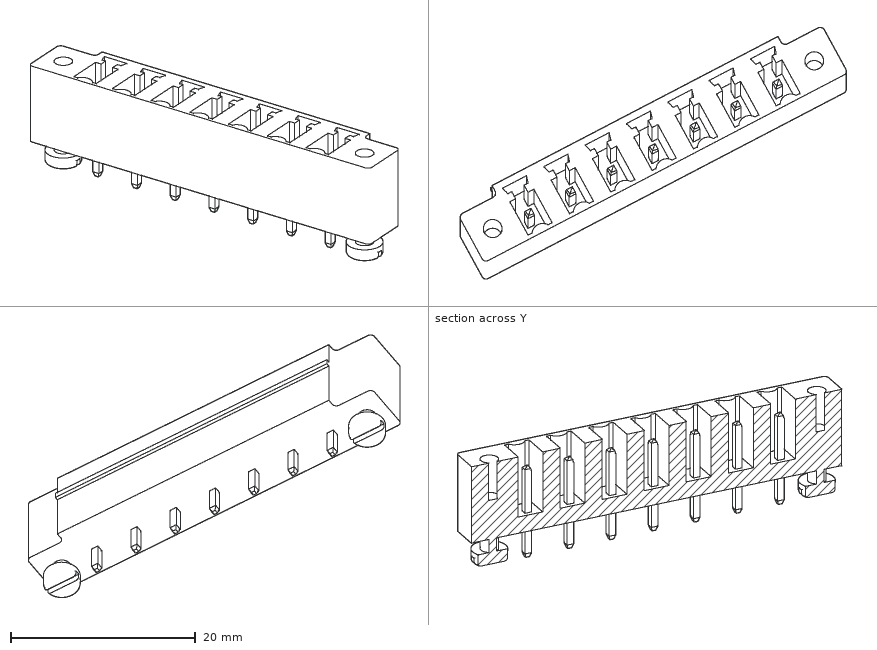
import cadquery as cq

length = 44.7
height = 9.2
front_y = -2.9
body_depth = 7.15
back_y = front_y + body_depth
flange_length = 4.8
flange_step = 1.2
flange_corner_radius = 0.55
front_corner_radius = 0.5

rib_depth = 0.4
rib_height = 0.65
rib_center_z = height - 3.2

pin_count = 7
pin_span = 30.45
pin_width = 0.8
pin_taper = 0.55
pin_tip_width = 0.45
pin_bottom_z = -3.4
pin_top_z = height - 1.8

pocket_floor_z = 2.0
pocket_half_width = 1.47
pocket_front_y = -2.45
pocket_shoulder_y = 1.75
neck_half_width = 0.75
tail_start_y = 2.65
tail_start_half_width = 1.25
pocket_back_y = 3.45
bump_half_width = 1.0
bump_height = 0.55

screw_spacing = 39.5
screw_diameter = 2.0
screw_hole_depth = 4.45
head_diameter = 4.0
head_top_z = -1.5
head_bottom_z = -3.0
head_edge_radius = 0.4
slot_width = 0.6
slot_depth = 0.85

pin_pitch = pin_span / (pin_count - 1)
pin_positions = [(i * pin_pitch - pin_span / 2, 0) for i in range(pin_count)]
screw_positions = [(-screw_spacing / 2, 0), (screw_spacing / 2, 0)]


def make_housing():
    """Block with a stepped-back mounting flange at each end and a rib along its back."""
    half_length = length / 2
    half_middle = half_length - flange_length
    flange_back_y = back_y - flange_step
    block = (
        cq.Workplane("XY")
        .moveTo(-half_length, front_y)
        .lineTo(half_length, front_y)
        .lineTo(half_length, flange_back_y)
        .lineTo(half_middle, flange_back_y)
        .lineTo(half_middle, back_y)
        .lineTo(-half_middle, back_y)
        .lineTo(-half_middle, flange_back_y)
        .lineTo(-half_length, flange_back_y)
        .close()
        .extrude(height)
    )
    for x in (half_length, half_middle):
        for side in (-1, 1):
            flange_corner = cq.selectors.NearestToPointSelector((side * x, flange_back_y, height / 2))
            block = block.edges(flange_corner).fillet(flange_corner_radius)
    block = block.faces("<Y").edges("|Z").fillet(front_corner_radius)
    rib = (
        cq.Workplane("XY")
        .box(2 * half_middle, rib_depth, rib_height, centered=(True, False, True))
        .translate((0, back_y, rib_center_z))
    )
    return block.union(rib)


def make_pockets():
    """One keyed pocket around each pin."""
    return (
        cq.Workplane("XY", origin=(0, 0, pocket_floor_z))
        .pushPoints(pin_positions)
        .eachpoint(lambda location: pocket_solid().moved(location))
    )


def pocket_solid():
    """Keyed pocket: wide front with a rounded bump, narrow neck, flared tail."""
    return (
        cq.Workplane("XY")
        .moveTo(-pocket_half_width, pocket_front_y)
        .lineTo(-bump_half_width, pocket_front_y)
        .threePointArc((0, pocket_front_y + bump_height), (bump_half_width, pocket_front_y))
        .lineTo(pocket_half_width, pocket_front_y)
        .lineTo(pocket_half_width, pocket_shoulder_y)
        .lineTo(neck_half_width, pocket_shoulder_y)
        .lineTo(neck_half_width, tail_start_y)
        .lineTo(tail_start_half_width, tail_start_y)
        .lineTo(pocket_half_width, pocket_back_y)
        .lineTo(-pocket_half_width, pocket_back_y)
        .lineTo(-tail_start_half_width, tail_start_y)
        .lineTo(-neck_half_width, tail_start_y)
        .lineTo(-neck_half_width, pocket_shoulder_y)
        .lineTo(-pocket_half_width, pocket_shoulder_y)
        .close()
        .extrude(height - pocket_floor_z)
        .val()
    )


def make_pin():
    """Square pin tapered at both ends."""
    pin_length = pin_top_z - pin_bottom_z
    tip_inset = (pin_width - pin_tip_width) / 2
    return (
        cq.Workplane("XY", origin=(0, 0, pin_bottom_z))
        .rect(pin_width, pin_width)
        .extrude(pin_length)
        .faces("<Z")
        .chamfer(pin_taper, tip_inset)
        .faces(">Z")
        .chamfer(pin_taper, tip_inset)
    )


def make_screw():
    """Slotted screw whose shank enters the housing from below."""
    head = (
        cq.Workplane("XY", origin=(0, 0, head_bottom_z))
        .circle(head_diameter / 2)
        .extrude(head_top_z - head_bottom_z)
        .faces("<Z")
        .edges()
        .fillet(head_edge_radius)
    )
    slot = (
        cq.Workplane("XY", origin=(0, 0, head_bottom_z))
        .rect(head_diameter, slot_width)
        .extrude(slot_depth)
    )
    shank = cq.Workplane("XY", origin=(0, 0, head_top_z)).circle(screw_diameter / 2).extrude(-head_top_z)
    return head.cut(slot).union(shank)


screw_holes = (
    cq.Workplane("XY", origin=(0, 0, height))
    .pushPoints(screw_positions)
    .circle(screw_diameter / 2)
    .extrude(-screw_hole_depth)
)

result = make_housing().cut(make_pockets()).cut(screw_holes)
for x, y in pin_positions:
    result = result.union(make_pin().translate((x, y, 0)))
for x, y in screw_positions:
    result = result.union(make_screw().translate((x, y, 0)))